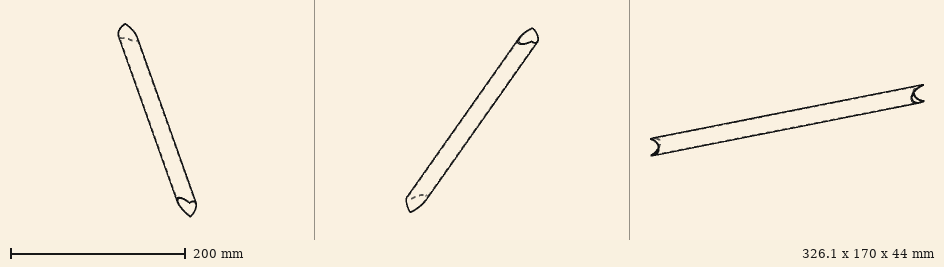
import cadquery as cq
import math

tube_diameter = 20.2
wall = 1.0
axis_run_x = 323.3
axis_run_y = -170.0
axis_rise = 23.8
end_overrun = 39.0

foot_lean = 3.0
head_lean = 4.5
head_skew = 15.0
head_front_skew = 3.0
head_reach = 1.5
cutter_size = 130.5

foot = cq.Vector(0, 0, 0)
head = cq.Vector(axis_run_x, axis_run_y, axis_rise)
direction = (head - foot).normalized()


def cylinder_along_axis(diameter):
    start = foot - direction * end_overrun
    length = (head - foot).Length + 2 * end_overrun
    return cq.Workplane(cq.Solid.makeCylinder(diameter / 2, length, start, direction))


def half_space(point, normal):
    """Large block on the side of a plane that its normal points to."""
    plane = cq.Plane(origin=point.toTuple(), normal=normal)
    return cq.Workplane(plane).rect(cutter_size, cutter_size).extrude(cutter_size)


def leaning_normal(skew, lean):
    """Outward +X normal turned about Z and tipped upward by the lean."""
    skew, lean = math.radians(skew), math.radians(lean)
    return (math.cos(skew) * math.cos(lean), math.sin(skew) * math.cos(lean), math.sin(lean))


tube = cylinder_along_axis(tube_diameter).cut(cylinder_along_axis(tube_diameter - 2 * wall))

foot_side = tuple(-component for component in leaning_normal(0, foot_lean))
tube = tube.cut(half_space(foot, foot_side))
tube = tube.cut(half_space(foot, (0, 1, 0)))

head_point = head + cq.Vector(head_reach, 0, 0)
tube = tube.cut(half_space(head_point, leaning_normal(head_skew, head_lean)))
front_skew = math.radians(head_front_skew)
tube = tube.cut(half_space(head_point, (-math.sin(front_skew), -math.cos(front_skew), 0)))

result = cq.Workplane(tube.val())